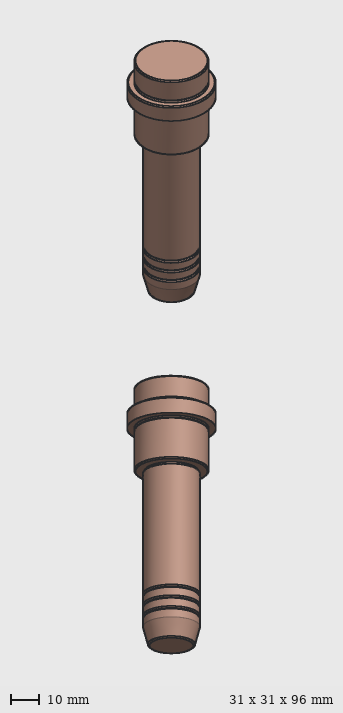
import cadquery as cq
import math

total_length = 96.0
collar_diameter = 31.0
body_diameter = 26.0
shaft_diameter = 20.0

collar_top = 87.0
collar_bottom = 81.0
body_bottom = 65.0
relief_bottom = 64.1
taper_top = 7.0

edge_chamfer = 0.5
tip_chamfer = 0.5
relief_diameter = 18.8
taper_angle = 15.0

groove_width = 1.1
groove_depth = 0.5
lowest_groove_height = 10.5
groove_pitch = 4.0
shaft_groove_count = 3


def cylinder(diameter, bottom, top):
    """Round section about Z between two heights."""
    return cq.Workplane("XY").workplane(offset=bottom).circle(diameter / 2).extrude(top - bottom)


def v_groove(diameter, height):
    """Ring with a V section, centred on a height, that cuts into a given diameter."""
    radius = diameter / 2
    return (
        cq.Workplane("XZ")
        .moveTo(radius, height - groove_width / 2)
        .lineTo(radius - groove_depth, height)
        .lineTo(radius, height + groove_width / 2)
        .close()
        .revolve(360, (0, 0, 0), (0, 1, 0))
    )


tip_radius = shaft_diameter / 2 - taper_top * math.tan(math.radians(taper_angle))
lead_in = (
    cq.Workplane("XZ")
    .lineTo(tip_radius, 0)
    .lineTo(shaft_diameter / 2, taper_top)
    .lineTo(0, taper_top)
    .close()
    .revolve(360, (0, 0, 0), (0, 1, 0))
    .faces("<Z")
    .chamfer(tip_chamfer)
)
shaft = cylinder(shaft_diameter, taper_top, relief_bottom)
relief = cylinder(relief_diameter, relief_bottom, body_bottom)

body = cylinder(body_diameter, body_bottom, total_length).faces("<Z or >Z").chamfer(edge_chamfer)
collar = cylinder(collar_diameter, collar_bottom, collar_top).faces(">Z").chamfer(edge_chamfer)

result = lead_in.union(shaft).union(relief).union(body).union(collar)

for groove_height in (collar_top + groove_width / 2, collar_bottom - groove_width / 2):
    result = result.cut(v_groove(body_diameter, groove_height))

for index in range(shaft_groove_count):
    result = result.cut(v_groove(shaft_diameter, lowest_groove_height + index * groove_pitch))